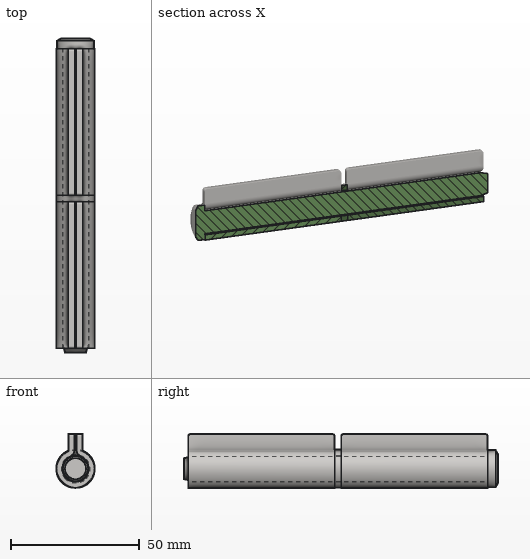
import cadquery as cq
import math

barrel_diameter = 15.0
bore_diameter = 10.2
leaf_length = 57.0
overall_height = 21.0
tab_pair_width = 5.5
bend_radius = 0.7
tab_corner_radius = 1.0
spacer_length = 2.5
pin_diameter = 9.8
pin_taper_length = 2.9
pin_taper_depth = 0.79
pin_length = 122.0
head_diameter = 14.5
head_length = 4.0
head_chamfer_length = 1.0
head_chamfer_depth = 1.7

barrel_radius = barrel_diameter / 2
bore_radius = bore_diameter / 2
leaf_top = overall_height - barrel_radius
sheet_thickness = barrel_radius - bore_radius
tab_outer_x = tab_pair_width / 2
tab_inner_x = tab_outer_x - sheet_thickness

bend_x = tab_outer_x + bend_radius
bend_z = math.sqrt((barrel_radius + bend_radius) ** 2 - bend_x ** 2)
bend_angle = math.atan2(bend_z, bend_x)

leaf_start = spacer_length / 2
head_face = leaf_start + leaf_length
head_end = head_face + head_length


def on_barrel(radius):
    """Point where the bend runs into a barrel surface of the given radius."""
    return radius * math.cos(bend_angle), radius * math.sin(bend_angle)


def on_bend(radius):
    """Point halfway round the bend on a surface of the given bend radius."""
    angle = math.pi + bend_angle / 2
    return bend_x + radius * math.cos(angle), bend_z + radius * math.sin(angle)


def mirrored(point):
    """Point on the opposite side of the hinge axis."""
    return -point[0], point[1]


def leaf(y_start):
    """Sheet wrapped round the pin, with both ends turned up as parallel tabs."""
    outer_joint = on_barrel(barrel_radius)
    inner_joint = on_barrel(bore_radius)
    outer_bend = on_bend(bend_radius)
    inner_bend = on_bend(bend_radius + sheet_thickness)
    body = (
        cq.Workplane("XZ", origin=(0, y_start + leaf_length, 0))
        .moveTo(tab_outer_x, leaf_top)
        .lineTo(tab_outer_x, bend_z)
        .threePointArc(outer_bend, outer_joint)
        .threePointArc((0, -barrel_radius), mirrored(outer_joint))
        .threePointArc(mirrored(outer_bend), (-tab_outer_x, bend_z))
        .lineTo(-tab_outer_x, leaf_top)
        .lineTo(-tab_inner_x, leaf_top)
        .lineTo(-tab_inner_x, bend_z)
        .threePointArc(mirrored(inner_bend), mirrored(inner_joint))
        .threePointArc((0, -bore_radius), inner_joint)
        .threePointArc(inner_bend, (tab_inner_x, bend_z))
        .lineTo(tab_inner_x, leaf_top)
        .close()
        .extrude(leaf_length)
    )
    return body.faces(">Z").edges("|X").fillet(tab_corner_radius)


def spacer():
    """Plain washer that keeps the two leaves apart."""
    return (
        cq.Workplane("XZ", origin=(0, spacer_length / 2, 0))
        .circle(barrel_radius)
        .circle(bore_radius)
        .extrude(spacer_length)
    )


def headed_pin():
    """Pin through both leaves, with its head against the +Y leaf."""
    head = (
        cq.Workplane("XZ", origin=(0, head_end, 0))
        .circle(head_diameter / 2)
        .extrude(head_length)
        .faces(">Y").chamfer(head_chamfer_length, head_chamfer_depth)
    )
    shank = (
        cq.Workplane("XZ", origin=(0, head_face, 0))
        .circle(pin_diameter / 2)
        .extrude(pin_length - head_length)
        .faces("<Y").chamfer(pin_taper_length, pin_taper_depth)
    )
    return head.union(shank)


leaves = [leaf(y_start).val() for y_start in (leaf_start, -leaf_start - leaf_length)]

result = cq.Compound.makeCompound([*leaves, spacer().val(), headed_pin().val()])